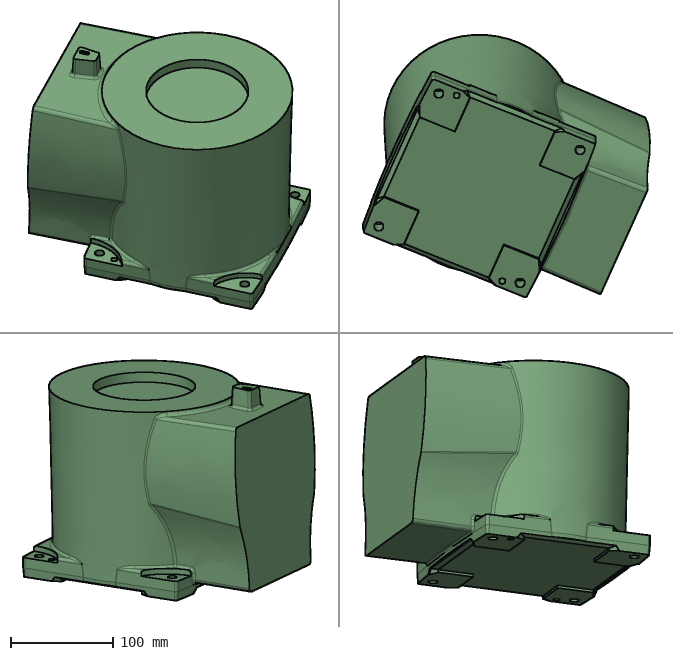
import cadquery as cq

TOTAL_HEIGHT = 200.0
TOTAL_LENGTH = 246.82

SELECTION_MARGIN = 1.0

BODY_HEIGHT = 184.5
BODY_TOP_RADIUS = 93.2
BODY_SPLIT_RADIUS = 89.5
BODY_BOTTOM_RADIUS = 88.6
RECESS_RADIUS = 50.0
RECESS_DEPTH = 10.0

HOUSING_TOP = 180.2
HOUSING_BOTTOM = 11.3
END_FACE_BOTTOM_X = BODY_TOP_RADIUS - TOTAL_LENGTH
END_FACE_TOP_X = -145.0
HOUSING_OUTER_X = -156.0
HOUSING_INNER_X = -40.0
OUTER_HALF_WIDTHS = {"top": 71.6, "belly": 76.8, "crease": 72.3, "waist": 64.8, "foot": 60.2}
INNER_HALF_WIDTHS = {"top": 74.5, "belly": 79.6, "crease": 76.6, "waist": 62.4, "foot": 57.7}
OUTER_CREASE_Z = 79.5
INNER_CREASE_Z = 92.0
BELLY_Z = 127.0
WAIST_Z = 58.0
HOUSING_EDGE_RADIUS = 4.0
CREASE_RADIUS = 4.0
JUNCTION_RADIUS = 4.1

BASE_HEIGHT = 25.4
BASE_SPLIT_Z = 9.6
BASE_HALF_Y = 87.6
BASE_CORNER_X = 87.2
BASE_MIDDLE_X = 90.2
BASE_CORNER_RADIUS = 3.0
BASE_TOP_RADIUS = 3.0
BASE_JUNCTION_RADIUS = 2.6
BASE_DRAFT = 5.0

PAD_Z = 19.8
PAD_CENTER_X = 87.2
PAD_CENTER_Y = 106.6
PAD_RADIUS = 44.2
PAD_CLEARANCE = 12.0
BOLT_OFFSET = 75.0
BOLT_DIAMETER = 9.0
PIN_X = 58.2
PIN_Y = 80.0
PIN_DIAMETER = 6.0

CHANNEL_HALF_WIDTH = 45.0
CHANNEL_DEPTH = 2.8
MOUTH_HALF_WIDTH = 56.0
MOUTH_ROOF_HALF_WIDTH = 50.8
MOUTH_DEPTH = 5.2
MOUTH_LENGTH = 5.0

KNOB_REAR_X = -126.2
KNOB_FRONT_X = -101.9
KNOB_REAR_HALF_WIDTH = 11.6
KNOB_FRONT_HALF_WIDTH = 7.6
KNOB_DRAFT = 3.0
KNOB_CORNER_RADIUS = 2.5
KNOB_FOOT_RADIUS = 3.0
SLOT_X = -117.8
SLOT_Y = 3.0
SLOT_LENGTH = 9.6
SLOT_WIDTH = 3.6
SLOT_DEPTH = 1.0


def make_body():
    profile = [
        (0, 0),
        (BODY_BOTTOM_RADIUS, 0),
        (BODY_SPLIT_RADIUS, BASE_SPLIT_Z),
        (BODY_TOP_RADIUS, BODY_HEIGHT),
        (0, BODY_HEIGHT),
    ]
    return cq.Workplane("XZ").polyline(profile).close().revolve(360, (0, 0), (0, 1))


def housing_section(workplane, half_widths, crease_z):
    """Draw one housing cross-section, symmetric about Y = 0."""
    top = half_widths["top"]
    belly = half_widths["belly"]
    crease = half_widths["crease"]
    waist = half_widths["waist"]
    foot = half_widths["foot"]
    return (
        workplane.moveTo(-foot, HOUSING_BOTTOM)
        .lineTo(foot, HOUSING_BOTTOM)
        .threePointArc((waist, WAIST_Z), (crease, crease_z))
        .threePointArc((belly, BELLY_Z), (top, HOUSING_TOP))
        .lineTo(-top, HOUSING_TOP)
        .threePointArc((-belly, BELLY_Z), (-crease, crease_z))
        .threePointArc((-waist, WAIST_Z), (-foot, HOUSING_BOTTOM))
        .close()
    )


def make_housing():
    outer = cq.Workplane("YZ", origin=(HOUSING_OUTER_X, 0, 0))
    sections = housing_section(outer, OUTER_HALF_WIDTHS, OUTER_CREASE_Z)
    inner = sections.workplane(offset=HOUSING_INNER_X - HOUSING_OUTER_X)
    sections = housing_section(inner, INNER_HALF_WIDTHS, INNER_CREASE_Z)
    housing = sections.loft(ruled=True)

    for edge_z in (HOUSING_TOP, HOUSING_BOTTOM):
        long_edges = cq.selectors.BoxSelector(
            (HOUSING_OUTER_X + SELECTION_MARGIN, -BODY_TOP_RADIUS, edge_z - SELECTION_MARGIN),
            (HOUSING_INNER_X - SELECTION_MARGIN, BODY_TOP_RADIUS, edge_z + SELECTION_MARGIN),
        )
        housing = housing.edges(long_edges).fillet(HOUSING_EDGE_RADIUS)

    creases = cq.selectors.BoxSelector(
        (HOUSING_OUTER_X + SELECTION_MARGIN, -BODY_TOP_RADIUS, OUTER_CREASE_Z),
        (HOUSING_INNER_X - SELECTION_MARGIN, BODY_TOP_RADIUS, INNER_CREASE_Z),
    )
    housing = housing.edges(creases).fillet(CREASE_RADIUS)

    slope = (END_FACE_TOP_X - END_FACE_BOTTOM_X) / (HOUSING_TOP - HOUSING_BOTTOM)
    face_x_at_ground = END_FACE_BOTTOM_X - slope * HOUSING_BOTTOM
    face_x_at_crest = face_x_at_ground + slope * TOTAL_HEIGHT
    keep = (
        cq.Workplane("XZ")
        .polyline([
            (face_x_at_ground, 0),
            (0, 0),
            (0, TOTAL_HEIGHT),
            (face_x_at_crest, TOTAL_HEIGHT),
        ])
        .close()
        .extrude(BODY_TOP_RADIUS, both=True)
    )
    return housing.intersect(keep)


def blend_housing_into_body(part):
    """Round the inside corner where the housing sides and top meet the cone."""
    junction = cq.selectors.BoxSelector(
        (-BODY_TOP_RADIUS, -BODY_TOP_RADIUS, HOUSING_BOTTOM + SELECTION_MARGIN),
        (HOUSING_INNER_X, BODY_TOP_RADIUS, HOUSING_TOP + SELECTION_MARGIN),
    )
    return part.edges(junction).fillet(JUNCTION_RADIUS)


def base_outline(z):
    """Base outline: straight front and back, slightly bowed ends."""
    return (
        cq.Workplane("XY", origin=(0, 0, z))
        .moveTo(-BASE_CORNER_X, -BASE_HALF_Y)
        .lineTo(BASE_CORNER_X, -BASE_HALF_Y)
        .threePointArc((BASE_MIDDLE_X, 0), (BASE_CORNER_X, BASE_HALF_Y))
        .lineTo(-BASE_CORNER_X, BASE_HALF_Y)
        .threePointArc((-BASE_MIDDLE_X, 0), (-BASE_CORNER_X, -BASE_HALF_Y))
        .close()
    )


def make_base():
    """Slab with rounded corners and top edge, tapered below the split line."""
    upper = base_outline(BASE_SPLIT_Z).extrude(BASE_HEIGHT - BASE_SPLIT_Z)
    upper = upper.edges("|Z").fillet(BASE_CORNER_RADIUS)
    lower = upper.faces("<Z").wires().toPending().extrude(-BASE_SPLIT_Z, taper=BASE_DRAFT, combine=False)
    upper = upper.faces(">Z").edges().fillet(BASE_TOP_RADIUS)
    return upper.union(lower)


def blend_base(part):
    """Round the inside corner where the base top meets the cone and the housing."""
    reach = BASE_CORNER_X - BASE_TOP_RADIUS - SELECTION_MARGIN
    junction = cq.selectors.BoxSelector(
        (-reach, -reach, BASE_HEIGHT - SELECTION_MARGIN),
        (reach, reach, BASE_HEIGHT + SELECTION_MARGIN),
    )
    return part.edges(junction).fillet(BASE_JUNCTION_RADIUS)


def cut_bolt_pads(part):
    for side_x in (-1, 1):
        for side_y in (-1, 1):
            pocket = (
                cq.Workplane("XY", origin=(side_x * PAD_CENTER_X, side_y * PAD_CENTER_Y, PAD_Z))
                .circle(PAD_RADIUS)
                .extrude(PAD_CLEARANCE)
            )
            part = part.cut(pocket)
    return part


def cut_mounting_holes(part):
    bolt_centers = [(x, y) for x in (-BOLT_OFFSET, BOLT_OFFSET) for y in (-BOLT_OFFSET, BOLT_OFFSET)]
    pin_centers = [(PIN_X, PIN_Y), (-PIN_X, -PIN_Y)]
    for centers, diameter in ((bolt_centers, BOLT_DIAMETER), (pin_centers, PIN_DIAMETER)):
        part = part.cut(cq.Workplane("XY").pushPoints(centers).circle(diameter / 2).extrude(PAD_Z))
    return part


def channel_mouth(face_distance):
    """Frustum that narrows from a base face at -Y to the channel, extended past the face."""
    opening = [
        (-MOUTH_HALF_WIDTH, 0),
        (MOUTH_HALF_WIDTH, 0),
        (MOUTH_ROOF_HALF_WIDTH, MOUTH_DEPTH),
        (-MOUTH_ROOF_HALF_WIDTH, MOUTH_DEPTH),
    ]
    throat = [
        (-CHANNEL_HALF_WIDTH, 0),
        (CHANNEL_HALF_WIDTH, 0),
        (CHANNEL_HALF_WIDTH, CHANNEL_DEPTH),
        (-CHANNEL_HALF_WIDTH, CHANNEL_DEPTH),
    ]
    face = cq.Workplane("XZ", origin=(0, -face_distance, 0))
    outside = face.polyline(opening).close().extrude(MOUTH_LENGTH)
    frustum = (
        face.polyline(opening)
        .close()
        .workplane(offset=-MOUTH_LENGTH)
        .polyline(throat)
        .close()
        .loft(ruled=True)
    )
    return outside.union(frustum)


def cut_channels(part):
    channel = cq.Workplane("XY").box(
        2 * CHANNEL_HALF_WIDTH, 2 * BASE_MIDDLE_X, CHANNEL_DEPTH, centered=(True, True, False)
    )
    for angle in (0, 90):
        part = part.cut(channel.rotate((0, 0, 0), (0, 0, 1), angle))
    for angle, face_distance in ((0, BASE_HALF_Y), (90, BASE_CORNER_X)):
        mouth = channel_mouth(face_distance)
        for turn in (angle, angle + 180):
            part = part.cut(mouth.rotate((0, 0, 0), (0, 0, 1), turn))
    return part


def add_knob(part):
    knob = (
        cq.Workplane("XY", origin=(0, 0, HOUSING_TOP))
        .polyline([
            (KNOB_REAR_X, -KNOB_REAR_HALF_WIDTH),
            (KNOB_FRONT_X, -KNOB_FRONT_HALF_WIDTH),
            (KNOB_FRONT_X, KNOB_FRONT_HALF_WIDTH),
            (KNOB_REAR_X, KNOB_REAR_HALF_WIDTH),
        ])
        .close()
        .extrude(TOTAL_HEIGHT - HOUSING_TOP, taper=KNOB_DRAFT)
    )
    knob = knob.edges("not(#Z)").fillet(KNOB_CORNER_RADIUS)
    part = part.union(knob)
    foot_half_width = KNOB_REAR_HALF_WIDTH + SELECTION_MARGIN
    foot = cq.selectors.BoxSelector(
        (KNOB_REAR_X - SELECTION_MARGIN, -foot_half_width, HOUSING_TOP - SELECTION_MARGIN),
        (KNOB_FRONT_X + SELECTION_MARGIN, foot_half_width, HOUSING_TOP + SELECTION_MARGIN),
    )
    part = part.edges(foot).fillet(KNOB_FOOT_RADIUS)
    slot = (
        cq.Workplane("XY", origin=(SLOT_X, SLOT_Y, TOTAL_HEIGHT))
        .slot2D(SLOT_LENGTH, SLOT_WIDTH)
        .extrude(-SLOT_DEPTH)
    )
    return part.cut(slot)


def cut_top_recess(part):
    recess = (
        cq.Workplane("XY", origin=(0, 0, BODY_HEIGHT))
        .circle(RECESS_RADIUS)
        .extrude(-RECESS_DEPTH)
    )
    return part.cut(recess)


result = make_body().union(make_housing())
result = blend_housing_into_body(result)
result = add_knob(result)
result = result.union(make_base())
result = blend_base(result)
result = cut_bolt_pads(result)
result = cut_mounting_holes(result)
result = cut_channels(result)
result = cut_top_recess(result)